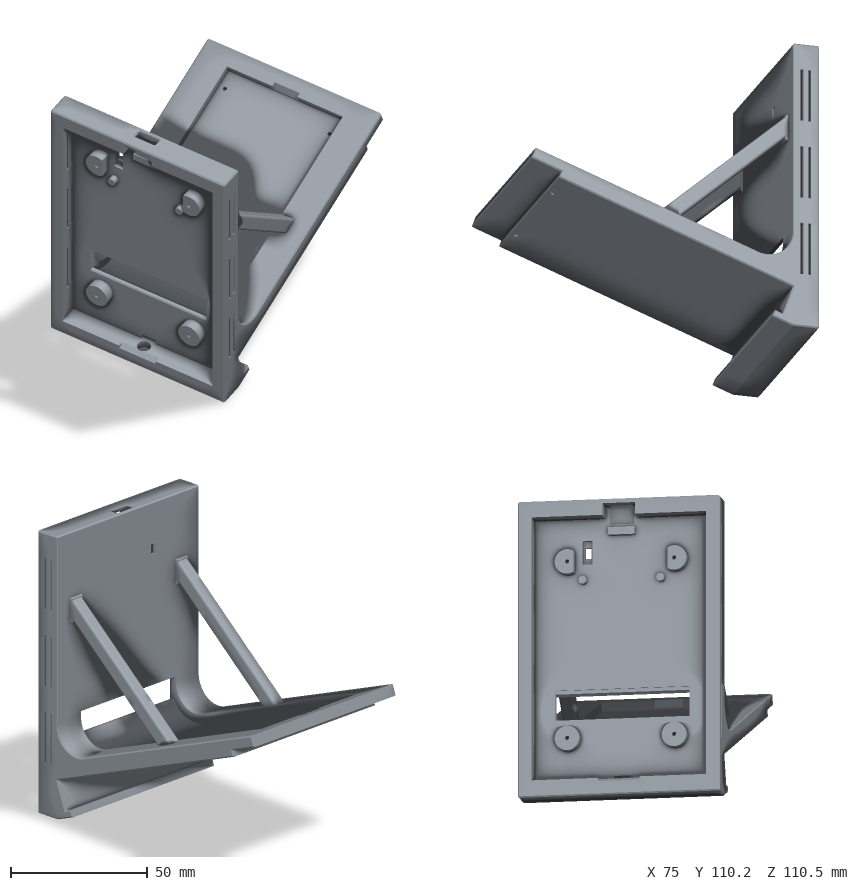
import cadquery as cq
import math

WIDTH = 75.0
HEIGHT = 110.5
FRAME_DEPTH = 10.1
BACK_WALL = 2.4
FLOOR_Y = FRAME_DEPTH - BACK_WALL
EDGE_CHAMFER = 0.5
CAVITY_WIDTH = 64.8
CAVITY_BOTTOM = 6.3
CAVITY_TOP = 104.5

TRAY_ANGLE = math.radians(20)
TRAY_THICKNESS = 7.0
TRAY_TIP_THICKNESS = 4.4
TRAY_TIP_LENGTH = 12.0
TRAY_LENGTH = 90.6
INNER_RADIUS = 10.0
INNER_ARC_Z = 36.9

LIP_THICKNESS = 2.8
LIP_LENGTH = 3.1

POCKET_WIDTH = 50.0
POCKET_DEPTH = 3.4
POCKET_LENGTH = 83.4
CHUTE_RADIUS = 12.5
WINDOW_BOTTOM = 29.5
WINDOW_CHAMFER = 0.4
WINDOW_TOP = 41.0
WINDOW_LIP_Z = 39.7
WINDOW_REAR_Z = 39.0
FINGER_NOTCH_WIDTH = 10.8
FINGER_NOTCH_REACH = 1.8
FINGER_NOTCH_DROP = 2.7
TRAY_HOLE_DIAMETER = 1.5
TRAY_HOLE_X = 22.5
TRAY_HOLE_FROM_FAR_WALL = 7.0

STRUT_GAP = 0.1
STRUT_WIDTH = 5.4
STRUT_HEIGHT = 6.0
STRUT_FILLET = 1.0
STRUT_ANGLE = math.radians(41.2)
STRUT_TOP_Z = 84.9
FOOT_BOTTOM = 75.0
FOOT_LENGTH = 0.9
FOOT_FLARE = 0.3

VENT_WIDTH = 1.0
VENT_LENGTH = 20.0
VENT_Y = (3.8, 6.7)
VENT_Z = (30.5, 60.4, 90.5)

BOSS_DIAMETER = 9.2
BOSS_HEIGHT = 4.0
BOSS_HOLE_DIAMETER = 1.5
BOSS_X = 19.9
BOSS_LOWER_Z = 22.4
BOSS_UPPER_Z = 88.4
BOSS_FLAT_X = 17.5
PIN_DIAMETER = 3.0
PIN_X = 14.5
PIN_Z = 81.7
STUB_HEIGHT = 2.5
STOP_WIDTH = 10.0
STOP_BOTTOM = 98.1
STOP_TOP = 101.0

SWITCH_X = -12.9
SWITCH_Z = 92.2
SWITCH_SIZE = (3.8, 8.7)
SWITCH_RECESS_DEPTH = 1.5
SWITCH_SLOT_SIZE = (2.1, 4.0)

CONNECTOR_NOTCH_WIDTH = 12.2
CONNECTOR_NOTCH_TOP = 108.8
CONNECTOR_WIDTH = 8.7
CONNECTOR_FRONT = 5.1
CONNECTOR_REAR = 8.4
CONNECTOR_RADIUS = 0.5
CONNECTOR_CHAMFER = 0.4
CONNECTOR_BOTTOM = 102.4

GROOVE_WIDTH = 15.6
GROOVE_DEPTH = 1.2
GROOVE_REACH = 2.2
FLOOR_HOLE_DIAMETER = 5.2
FLOOR_HOLE_Y = 4.5
FLOOR_HOLE_DEPTH = 3.0
SNAP_WIDTH = 6.1
SNAP_DEPTH = 1.0
SNAP_TOP = 8.4
SNAP_SLOPE = 0.5

CLEARANCE = 5.5
SIDES = (-1, 1)

COS = math.cos(TRAY_ANGLE)
SIN = math.sin(TRAY_ANGLE)
ARC_CENTRE = (FRAME_DEPTH + INNER_RADIUS, INNER_ARC_Z)


def tray_point(along, up):
    """(Y, Z) of a point measured from where the inner arc meets the tray face."""
    start_y = ARC_CENTRE[0] + INNER_RADIUS * SIN
    start_z = ARC_CENTRE[1] - INNER_RADIUS * COS
    return (start_y + along * COS - up * SIN, start_z + along * SIN + up * COS)


def inner_arc_middle():
    """(Y, Z) of the middle of the arc between the upright and the tray face."""
    upright_end = math.pi
    tray_end = 1.5 * math.pi + TRAY_ANGLE
    angle = (upright_end + tray_end) / 2
    return (
        ARC_CENTRE[0] + INNER_RADIUS * math.cos(angle),
        ARC_CENTRE[1] + INNER_RADIUS * math.sin(angle),
    )


def box(x, y, z):
    """Box between the given (low, high) pairs."""
    block = cq.Workplane("XY").box(x[1] - x[0], y[1] - y[0], z[1] - z[0], centered=False)
    return block.translate((x[0], y[0], z[0]))


def centred(width):
    """(low, high) pair of a width centred on X = 0."""
    return (-width / 2, width / 2)


def prism(points, width, x_centre=0):
    """Closed (Y, Z) outline extruded along X about x_centre."""
    outline = cq.Workplane("YZ").polyline(points).close()
    return outline.extrude(width / 2, both=True).translate((x_centre, 0, 0))


def back_wall_rod(x, z, diameter, start_y, end_y):
    """Cylinder along Y."""
    length = end_y - start_y
    return cq.Workplane("XZ", origin=(x, end_y, z)).circle(diameter / 2).extrude(length)


def make_body():
    """Upright, tilted tray and lip as one side outline, with bevelled outer edges."""
    under_start = tray_point(0, -TRAY_THICKNESS)
    corner_z = under_start[1] - (under_start[0] - FRAME_DEPTH) * SIN / COS
    wall_drop = corner_z * COS - LIP_THICKNESS
    lip_root = (FRAME_DEPTH + wall_drop * SIN, corner_z - wall_drop * COS)
    lip_top = (lip_root[0] + LIP_LENGTH * COS, lip_root[1] + LIP_LENGTH * SIN)
    lip_bottom = (lip_top[0] + LIP_THICKNESS * SIN, lip_top[1] - LIP_THICKNESS * COS)
    step = TRAY_LENGTH - TRAY_TIP_LENGTH
    body = (
        cq.Workplane("YZ")
        .moveTo(0, 0)
        .lineTo(0, HEIGHT)
        .lineTo(FRAME_DEPTH, HEIGHT)
        .lineTo(FRAME_DEPTH, INNER_ARC_Z)
        .threePointArc(inner_arc_middle(), tray_point(0, 0))
        .lineTo(*tray_point(TRAY_LENGTH, 0))
        .lineTo(*tray_point(TRAY_LENGTH, -TRAY_TIP_THICKNESS))
        .lineTo(*tray_point(step, -TRAY_TIP_THICKNESS))
        .lineTo(*tray_point(step, -TRAY_THICKNESS))
        .lineTo(FRAME_DEPTH, corner_z)
        .lineTo(*lip_root)
        .lineTo(*lip_top)
        .lineTo(*lip_bottom)
        .lineTo(FRAME_DEPTH, 0)
        .close()
        .extrude(WIDTH / 2, both=True)
    )
    return body.faces("<X or >X or <Y or >Z").edges().chamfer(EDGE_CHAMFER)


def strut_line(y, start_z):
    """(Y, Z) on the strut line that leaves the upright at start_z."""
    return (y, start_z - (y - FRAME_DEPTH) * math.tan(STRUT_ANGLE))


def strut_end(start_z):
    """Where that strut line meets the middle of the tray thickness."""
    tray_y, tray_z = tray_point(0, -TRAY_THICKNESS / 2)
    height_over_tray = start_z - (tray_z + (FRAME_DEPTH - tray_y) * math.tan(TRAY_ANGLE))
    run = height_over_tray / (math.tan(STRUT_ANGLE) + math.tan(TRAY_ANGLE))
    return strut_line(FRAME_DEPTH + run, start_z)


def make_strut(side):
    """Rounded diagonal strut with a flared foot on the upright."""
    x_centre = side * (POCKET_WIDTH / 2 + STRUT_GAP + STRUT_WIDTH / 2)
    root_y = FRAME_DEPTH - BACK_WALL / 2
    bottom_z = STRUT_TOP_Z - STRUT_HEIGHT / math.cos(STRUT_ANGLE)
    outline = [
        strut_line(root_y, STRUT_TOP_Z),
        strut_end(STRUT_TOP_Z),
        strut_end(bottom_z),
        strut_line(root_y, bottom_z),
    ]
    along_strut = cq.Vector(0, math.cos(STRUT_ANGLE), -math.sin(STRUT_ANGLE))
    strut = prism(outline, STRUT_WIDTH, x_centre)
    strut = strut.edges(cq.selectors.ParallelDirSelector(along_strut)).fillet(STRUT_FILLET)

    foot_centre_z = (STRUT_TOP_Z + FOOT_BOTTOM) / 2
    foot_taper = math.degrees(math.atan(FOOT_FLARE / FOOT_LENGTH))
    foot = (
        cq.Workplane("XZ", origin=(x_centre, FRAME_DEPTH, foot_centre_z))
        .rect(STRUT_WIDTH + 2 * FOOT_FLARE, STRUT_TOP_Z - FOOT_BOTTOM)
        .extrude(-FOOT_LENGTH, taper=foot_taper)
    )
    return strut.union(foot)


def pocket_cutter():
    """Tray pocket that curves up and breaks through the back wall as a window."""
    radius = INNER_RADIUS + POCKET_DEPTH
    ledge_z = WINDOW_BOTTOM + WINDOW_CHAMFER
    step_y = FLOOR_Y + WINDOW_CHAMFER
    lowest_point = (ARC_CENTRE[0], ARC_CENTRE[1] - radius)
    chute_centre_z = lowest_point[1] + CHUTE_RADIUS
    crest_y = lowest_point[0] - math.sqrt(CHUTE_RADIUS**2 - (chute_centre_z - ledge_z) ** 2)
    return (
        cq.Workplane("YZ")
        .moveTo(*tray_point(POCKET_LENGTH, CLEARANCE))
        .lineTo(*tray_point(POCKET_LENGTH, -POCKET_DEPTH))
        .lineTo(*tray_point(0, -POCKET_DEPTH))
        .tangentArcPoint(lowest_point, relative=False)
        .tangentArcPoint((crest_y, ledge_z), relative=False)
        .lineTo(step_y, ledge_z)
        .lineTo(FLOOR_Y, WINDOW_BOTTOM)
        .lineTo(FLOOR_Y, WINDOW_TOP)
        .lineTo(step_y, WINDOW_TOP)
        .lineTo(step_y, WINDOW_LIP_Z)
        .lineTo(FRAME_DEPTH, WINDOW_REAR_Z)
        .lineTo(FRAME_DEPTH + CLEARANCE, WINDOW_REAR_Z)
        .close()
        .extrude(POCKET_WIDTH / 2, both=True)
    )


def cut_tray_pocket(body):
    body = body.cut(pocket_cutter())
    notch = prism(
        [
            tray_point(POCKET_LENGTH + FINGER_NOTCH_REACH, 0),
            tray_point(POCKET_LENGTH, -FINGER_NOTCH_DROP),
            tray_point(POCKET_LENGTH - FINGER_NOTCH_REACH, 0),
        ],
        FINGER_NOTCH_WIDTH,
    )
    body = body.cut(notch)
    hole_y, hole_z = tray_point(POCKET_LENGTH - TRAY_HOLE_FROM_FAR_WALL, -TRAY_THICKNESS - CLEARANCE)
    hole_axis = cq.Vector(0, -SIN, COS)
    for side in SIDES:
        start = cq.Vector(side * TRAY_HOLE_X, hole_y, hole_z)
        hole = cq.Solid.makeCylinder(TRAY_HOLE_DIAMETER / 2, 2 * CLEARANCE, start, hole_axis)
        body = body.cut(cq.Workplane(hole))
    return body


def cut_vents(body):
    for y in VENT_Y:
        for z in VENT_Z:
            vent = cq.Workplane("XY").box(WIDTH + CLEARANCE, VENT_WIDTH, VENT_LENGTH)
            body = body.cut(vent.translate((0, y, z)))
    return body


def add_back_wall_mounts(body):
    boss_front = FLOOR_Y - BOSS_HEIGHT
    stub_front = FLOOR_Y - STUB_HEIGHT
    for side in SIDES:
        for z in (BOSS_LOWER_Z, BOSS_UPPER_Z):
            boss = back_wall_rod(side * BOSS_X, z, BOSS_DIAMETER, boss_front, FLOOR_Y)
            if z == BOSS_UPPER_Z:
                inner_side = box(centred(2 * BOSS_FLAT_X), (0, FLOOR_Y), (0, HEIGHT))
                boss = boss.cut(inner_side)
            hole = back_wall_rod(side * BOSS_X, z, BOSS_HOLE_DIAMETER, boss_front, FLOOR_Y)
            body = body.union(boss).cut(hole)
        body = body.union(back_wall_rod(side * PIN_X, PIN_Z, PIN_DIAMETER, stub_front, FLOOR_Y))
    return body.union(box(centred(STOP_WIDTH), (stub_front, FLOOR_Y), (STOP_BOTTOM, STOP_TOP)))


def cut_switch_opening(body):
    recess = cq.Workplane("XZ", origin=(SWITCH_X, FLOOR_Y, SWITCH_Z)).rect(*SWITCH_SIZE)
    slot = cq.Workplane("XZ", origin=(SWITCH_X, FLOOR_Y, SWITCH_Z)).rect(*SWITCH_SLOT_SIZE)
    return body.cut(recess.extrude(-SWITCH_RECESS_DEPTH)).cut(slot.extrude(-2 * BACK_WALL))


def cut_connector_opening(body):
    notch = box(
        centred(CONNECTOR_NOTCH_WIDTH), (-CLEARANCE, FLOOR_Y), (STOP_TOP, CONNECTOR_NOTCH_TOP)
    )
    depth = CONNECTOR_REAR - CONNECTOR_FRONT
    centre_y = (CONNECTOR_REAR + CONNECTOR_FRONT) / 2
    slot = (
        cq.Workplane("XY", origin=(0, centre_y, CONNECTOR_BOTTOM))
        .rect(CONNECTOR_WIDTH, depth)
        .extrude(HEIGHT - CONNECTOR_BOTTOM)
        .edges("|Z")
        .fillet(CONNECTOR_RADIUS)
    )
    mouth = (
        slot.faces(">Z")
        .wires()
        .toPending()
        .offset2D(CONNECTOR_CHAMFER)
        .extrude(-CONNECTOR_CHAMFER, taper=45, combine=False)
    )
    return body.cut(notch).cut(slot).cut(mouth)


def cut_bottom_wall(body):
    groove = prism(
        [
            (0, CAVITY_BOTTOM - GROOVE_DEPTH),
            (GROOVE_REACH, CAVITY_BOTTOM),
            (0, CAVITY_BOTTOM),
        ],
        GROOVE_WIDTH,
    )
    snap = prism(
        [
            (FLOOR_Y, CAVITY_BOTTOM),
            (FLOOR_Y, SNAP_TOP),
            (FLOOR_Y + SNAP_DEPTH, SNAP_TOP - SNAP_SLOPE),
            (FLOOR_Y + SNAP_DEPTH, CAVITY_BOTTOM),
        ],
        SNAP_WIDTH,
    )
    hole = (
        cq.Workplane("XY", origin=(0, FLOOR_HOLE_Y, CAVITY_BOTTOM))
        .circle(FLOOR_HOLE_DIAMETER / 2)
        .extrude(-FLOOR_HOLE_DEPTH)
    )
    return body.cut(groove).cut(snap).cut(hole)


cavity = box(centred(CAVITY_WIDTH), (-CLEARANCE, FLOOR_Y), (CAVITY_BOTTOM, CAVITY_TOP))

body = make_body()
for side in SIDES:
    body = body.union(make_strut(side))
body = body.cut(cavity)
body = cut_tray_pocket(body)
body = cut_vents(body)
body = add_back_wall_mounts(body)
body = cut_switch_opening(body)
body = cut_connector_opening(body)
result = cut_bottom_wall(body)